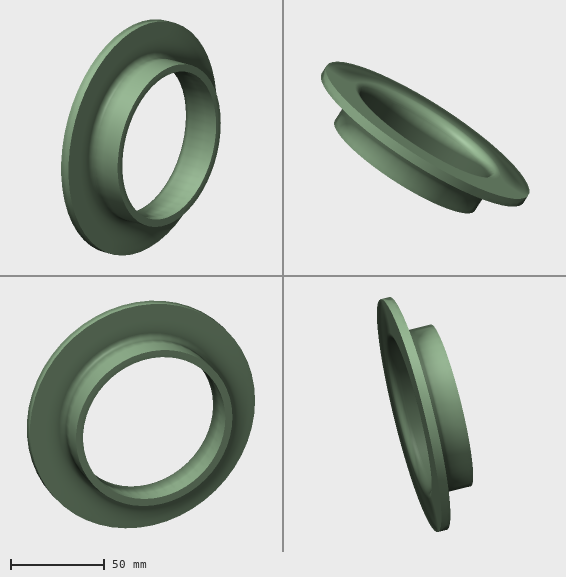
import cadquery as cq

flange_diameter = 128.0
flange_thickness = 5.0
collar_diameter = 89.0
bore_diameter = 80.9
total_length = 23.0
bore_mouth_radius = 5.0
root_fillet_radius = 3.0

flange_radius = flange_diameter / 2
collar_radius = collar_diameter / 2
bore_radius = bore_diameter / 2


def ring_section():
    """Half section of the collar: X is the axial direction, Y the radial one."""
    root_end = flange_thickness + root_fillet_radius
    return (
        cq.Workplane("XY")
        .moveTo(0, bore_radius + bore_mouth_radius)
        .lineTo(0, flange_radius)
        .lineTo(flange_thickness, flange_radius)
        .lineTo(flange_thickness, collar_radius + root_fillet_radius)
        .radiusArc((root_end, collar_radius), -root_fillet_radius)
        .lineTo(total_length, collar_radius)
        .lineTo(total_length, bore_radius)
        .lineTo(bore_mouth_radius, bore_radius)
        .radiusArc((0, bore_radius + bore_mouth_radius), bore_mouth_radius)
        .close()
    )


result = ring_section().revolve(360, (0, 0, 0), (1, 0, 0))